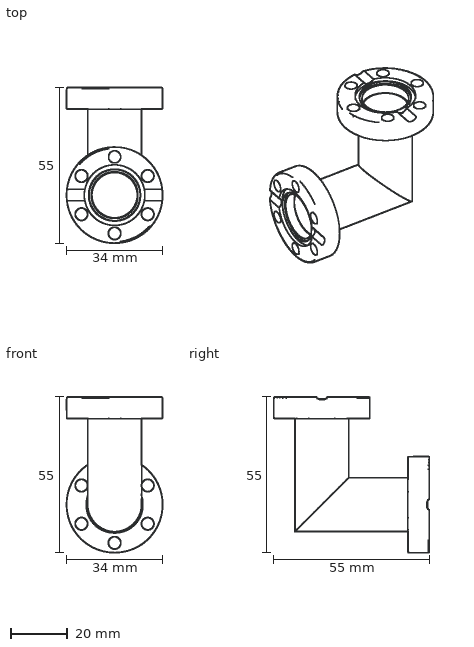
import cadquery as cq
import math

FACE_DISTANCE = 38.0
FLANGE_DIAMETER = 34.0
FLANGE_THICKNESS = 7.65
RIM_FILLET = 0.5
BORE_DIAMETER = 16.5
BORE_DEPTH = 4.8

RECESS_DIAMETER = 21.4
RECESS_DEPTH = 1.4
KNIFE_DIAMETER = 18.35
KNIFE_DEPTH = 0.6
LAND_DIAMETER = 18.05
LAND_DEPTH = 1.3

TUBE_DIAMETER = 19.0
TUBE_BORE = 16.0
SOCKET_DIAMETER = 19.1
SOCKET_CHAMFER = 0.5

BOLT_COUNT = 6
BOLT_HOLE_DIAMETER = 4.3
BOLT_CIRCLE_DIAMETER = 27.0
FIRST_BOLT_ANGLE = 90

GROOVE_WIDTH = 4.0
GROOVE_DEPTH = 1.05

TUBE_LENGTH = FACE_DISTANCE - BORE_DEPTH
FLANGE_BACK = FACE_DISTANCE - FLANGE_THICKNESS


def make_flange_blank():
    """Revolve the flange section, with its bore, knife edge and tube socket."""
    outer = FLANGE_DIAMETER / 2
    socket = SOCKET_DIAMETER / 2
    bore = BORE_DIAMETER / 2
    arc_inset = RIM_FILLET * (1 - math.cos(math.pi / 4))
    section = (
        cq.Workplane("XZ")
        .moveTo(bore, TUBE_LENGTH)
        .lineTo(bore, FACE_DISTANCE - LAND_DEPTH)
        .lineTo(LAND_DIAMETER / 2, FACE_DISTANCE - LAND_DEPTH)
        .lineTo(KNIFE_DIAMETER / 2, FACE_DISTANCE - KNIFE_DEPTH)
        .lineTo(RECESS_DIAMETER / 2, FACE_DISTANCE - RECESS_DEPTH)
        .lineTo(RECESS_DIAMETER / 2, FACE_DISTANCE)
        .lineTo(outer - RIM_FILLET, FACE_DISTANCE)
        .threePointArc(
            (outer - arc_inset, FACE_DISTANCE - arc_inset),
            (outer, FACE_DISTANCE - RIM_FILLET),
        )
        .lineTo(outer, FLANGE_BACK + RIM_FILLET)
        .threePointArc(
            (outer - arc_inset, FLANGE_BACK + arc_inset),
            (outer - RIM_FILLET, FLANGE_BACK),
        )
        .lineTo(socket + SOCKET_CHAMFER, FLANGE_BACK)
        .lineTo(socket, FLANGE_BACK + SOCKET_CHAMFER)
        .lineTo(socket, TUBE_LENGTH)
        .close()
    )
    return section.revolve(360, (0, 0, 0), (0, 1, 0))


def make_bolt_holes():
    """Ring of through-hole cutters parallel to the flange axis."""
    return (
        cq.Workplane("XY", origin=(0, 0, FLANGE_BACK))
        .polarArray(BOLT_CIRCLE_DIAMETER / 2, FIRST_BOLT_ANGLE, 360, BOLT_COUNT)
        .circle(BOLT_HOLE_DIAMETER / 2)
        .extrude(FLANGE_THICKNESS)
    )


def make_leak_grooves():
    """Two round-bottomed groove cutters along X, from the rim to the seal recess."""
    bar = (
        cq.Workplane("YZ")
        .moveTo(-GROOVE_WIDTH / 2, FACE_DISTANCE)
        .threePointArc((0, FACE_DISTANCE - GROOVE_DEPTH), (GROOVE_WIDTH / 2, FACE_DISTANCE))
        .close()
        .extrude(FLANGE_DIAMETER / 2, both=True)
    )
    seal_area = (
        cq.Workplane("XY", origin=(0, 0, FACE_DISTANCE))
        .circle(RECESS_DIAMETER / 2)
        .extrude(-GROOVE_DEPTH)
    )
    return bar.cut(seal_area)


def make_flange():
    """Upper flange, centred on the Z axis."""
    return make_flange_blank().cut(make_bolt_holes()).cut(make_leak_grooves())


def make_tube():
    """Upright tube on the Z axis, its lower end mitred on the plane z = y."""
    radius = TUBE_DIAMETER / 2
    full_tube = (
        cq.Workplane("XY", origin=(0, 0, -radius))
        .circle(radius)
        .circle(TUBE_BORE / 2)
        .extrude(TUBE_LENGTH + radius)
    )
    below_mitre = (
        cq.Workplane("YZ")
        .polyline([(-radius, -radius), (radius, -radius), (radius, radius)])
        .close()
        .extrude(radius, both=True)
    )
    return full_tube.cut(below_mitre)


def turn_to_y(body):
    """Swap the +Z axis for +Y by a half turn about the bisector of the two."""
    return body.rotate((0, 0, 0), (0, 1, 1), 180)


flange = make_flange()
tube = make_tube()

bodies = []
for upright_body in (flange, tube):
    bodies.append(upright_body.val())
    bodies.append(turn_to_y(upright_body).val())

result = cq.Compound.makeCompound(bodies)